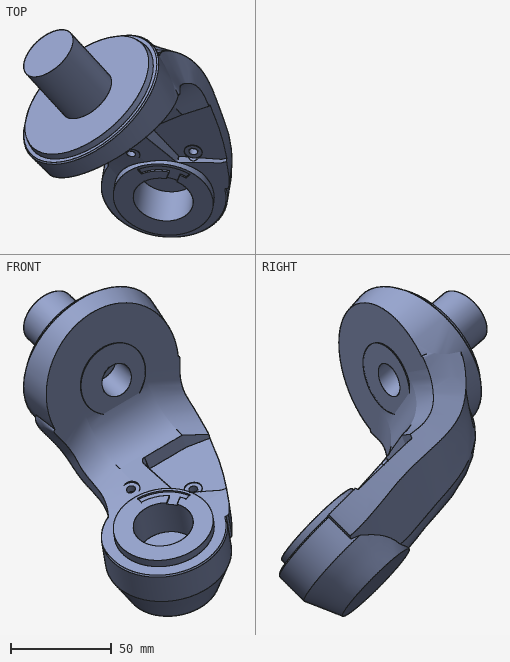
import cadquery as cq
import math

FLANGE_CENTRE = (-20.1, 18.7, 49.5)
PIN_AXIS = cq.Vector(-0.5728, 0.6223, 0.5335)
HUB_AXIS = cq.Vector(-0.1161, -0.7059, 0.6987)

PIN_RADIUS = 15.0
PIN_LENGTH = 33.4
FACE_RADIUS = 37.5
FACE_STEP = 3.0
FLANGE_RADIUS = 41.0
RIM_CHAMFER = 0.7

BARREL_LENGTH = 40.0
BARREL_END_RADIUS = 37.0
BARREL_END_X = -3.0
BACK_DEPTH = 25.3
BACK_TILT = 15.5
PAD_RADIUS = 18.8
PAD_X = -1.5
PAD_Z = 1.5
PAD_HEIGHT = 0.6

BACK_HOLE_RADIUS = 8.5
BACK_HOLE_FLOOR = 13.0
BACK_HOLE_TIP_RADIUS = 5.0
BACK_HOLE_TIP_DEPTH = 8.0

HUB_X = -27.5
HUB_Y = -99.6
HUB_RADIUS = 31.6
HUB_END_RADIUS = 23.5
PLATE_Z = -32.0
HUB_SHOULDER_Z = -50.0
HUB_END_Z = -68.85
BOSS_RADIUS = 25.0
BOSS_HEIGHT = 4.5
BOSS_TOP_Z = PLATE_Z + BOSS_HEIGHT
BORE_RADIUS = 15.0
BORE_DEPTH = 20.5

RECESS_DEPTH = 1.0
RECESS_INNER_RADIUS = 20.0
RECESS_OUTER_RADIUS = 23.5
RECESS_START_ANGLE = 20.0
RECESS_END_ANGLE = 88.0
STEM_ANGLE = 38.0
STEM_WIDTH = 5.5

PIVOT_Y = -50.0
PIVOT_Z = -5.0
QUARTER_TURN = 90.0
ARM_INNER = 12.0
RIDGE_WIDTH = 26.0
RIDGE_RISE = 3.0

HOLLOW_HALF_WIDTH = 70.0
HOLLOW_TOP_Z = 60.0
HOLLOW_END_Y = -180.0
STRIP_LEFT_X = -21.5
STRIP_RIGHT_X = 15.5
EDGE_LEFT_X = -42.0
EDGE_RIGHT_X = 36.0
EDGE_BEND = (-14.0, (-28.8, -39.5), (-34.3, -55.5))
STRIP_BEND = (-5.0, (-22.2, -37.7), (-27.2, -53.5))
BEND_END_Y = -97.0

POCKET_FLOOR_Z = -33.5
POCKET_OUTLINE = [
    (-7.5, -58.0),
    (15.0, -58.0),
    (40.0, -63.5),
    (40.0, -101.0),
    (10.5, -95.0),
    (-7.0, -83.0),
]
POCKET_DRAFT = 25.0
POCKET_TOP_Z = -20.0

SCREW_HOLES = [(-24.5, -67.0, -29.3), (1.0, -84.0, POCKET_FLOOR_Z - 0.4)]
SCREW_RADIUS = 2.2
SCREW_DEPTH = 4.0
SPOT_RADIUS = 4.5
SPOT_HEIGHT = 6.0


def turned_about_y(profile):
    """Solid turned about the y axis from (radius, y) points."""
    return cq.Workplane("XY").polyline(profile).close().revolve(360, (0, 0, 0), (0, 1, 0))


def disc(x, y, z, radius, height):
    """Upright cylinder standing on z."""
    return cq.Workplane("XY", origin=(x, y, z)).circle(radius).extrude(height)


def back_y(z):
    """Place of the tilted back of the flange at height z."""
    return -BACK_DEPTH + z * math.tan(math.radians(BACK_TILT))


def flange_and_pin():
    barrel_start = -FACE_STEP - RIM_CHAMFER
    front = turned_about_y(
        [
            (0, PIN_LENGTH),
            (PIN_RADIUS, PIN_LENGTH),
            (PIN_RADIUS, 0),
            (FACE_RADIUS, 0),
            (FACE_RADIUS + RIM_CHAMFER, -FACE_STEP),
            (FLANGE_RADIUS - RIM_CHAMFER, -FACE_STEP),
            (FLANGE_RADIUS, barrel_start),
            (0, barrel_start),
        ]
    )
    away = cq.Vector(0, -1, 0)
    start = cq.Wire.makeCircle(FLANGE_RADIUS, cq.Vector(0, barrel_start, 0), away)
    end = cq.Wire.makeCircle(BARREL_END_RADIUS, cq.Vector(BARREL_END_X, -BARREL_LENGTH, 0), away)
    return front.union(cq.Workplane(cq.Solid.makeLoft([start, end], True)))


def arm_section(turn, y, left, right, left_side, right_side, back):
    """Closed wire across the arm; the sides and the back are distances from the pivot line."""
    angle = math.radians(turn)
    plane = cq.Plane(
        origin=(0, y, PIVOT_Z), xDir=(1, 0, 0), normal=(0, math.sin(angle), math.cos(angle))
    )
    middle = (left + right) / 2
    ridge_left = middle - RIDGE_WIDTH / 2
    ridge_right = middle + RIDGE_WIDTH / 2
    wire = (
        cq.Workplane(plane)
        .moveTo(left, left_side)
        .lineTo(left, ARM_INNER)
        .lineTo(right, ARM_INNER)
        .lineTo(right, right_side)
        .lineTo(ridge_right, back - RIDGE_RISE)
        .threePointArc((middle, back), (ridge_left, back - RIDGE_RISE))
        .close()
    )
    return wire.val()


def arm():
    sections = [
        arm_section(0, PIVOT_Y, -37, 34.5, 38, 42, 44),
        arm_section(35, PIVOT_Y, -36.5, 33.0, 36, 42, 50),
        arm_section(60, PIVOT_Y, -35.5, 31.8, 34, 40, 57.5),
        arm_section(QUARTER_TURN, PIVOT_Y, -35.5, 30.5, 34, 39, 60),
        arm_section(QUARTER_TURN, -68, -40, 25.3, 37, 39, 62),
        arm_section(QUARTER_TURN, -84, -52, 19, 43, 40, 63.5),
        arm_section(QUARTER_TURN, -100, -52, 11, 45, 42, 61),
        arm_section(QUARTER_TURN, -112, -48, 3, 45, 42, 56),
    ]
    ahead = cq.Workplane("XZ", origin=(0, -FACE_STEP - RIM_CHAMFER, 0))
    return cq.Workplane(cq.Solid.makeLoft(sections, False)).cut(
        ahead.circle(2 * FLANGE_RADIUS).extrude(-BARREL_LENGTH)
    )


def back_pad():
    """Low round pad on the tilted back of the flange."""
    tilt = math.radians(BACK_TILT)
    back = cq.Plane(
        origin=(PAD_X, back_y(PAD_Z), PAD_Z), xDir=(1, 0, 0), normal=(0, -math.cos(tilt), math.sin(tilt))
    )
    return cq.Workplane(back).workplane(offset=-PAD_HEIGHT).circle(PAD_RADIUS).extrude(2 * PAD_HEIGHT)


def hollow_section(x, bend):
    """Closed wire at one x: tilted back, bend, plate, and outer limits."""
    start_z, (middle_z, middle_y), (end_z, end_y) = bend
    wire = (
        cq.Workplane("YZ", origin=(x, 0, 0))
        .moveTo(back_y(HOLLOW_TOP_Z), HOLLOW_TOP_Z)
        .lineTo(back_y(start_z), start_z)
        .threePointArc((middle_y, middle_z), (end_y, end_z))
        .lineTo(BEND_END_Y, PLATE_Z)
        .lineTo(HOLLOW_END_Y, PLATE_Z)
        .lineTo(HOLLOW_END_Y, HOLLOW_TOP_Z)
        .close()
    )
    return wire.val()


def hollow():
    steps = [
        (-HOLLOW_HALF_WIDTH, EDGE_BEND),
        (EDGE_LEFT_X, EDGE_BEND),
        (STRIP_LEFT_X, STRIP_BEND),
        (STRIP_RIGHT_X, STRIP_BEND),
        (EDGE_RIGHT_X, EDGE_BEND),
        (HOLLOW_HALF_WIDTH, EDGE_BEND),
    ]
    wires = [hollow_section(x, bend) for x, bend in steps]
    return cq.Workplane(cq.Solid.makeLoft(wires, True))


def hub():
    """Hub body; the part standing above the plate is removed with the hollow."""
    profile = [
        (0, PLATE_Z + BOSS_HEIGHT),
        (HUB_RADIUS - RIM_CHAMFER, PLATE_Z + BOSS_HEIGHT),
        (HUB_RADIUS - RIM_CHAMFER, PLATE_Z),
        (HUB_RADIUS, PLATE_Z - RIM_CHAMFER),
        (HUB_RADIUS, HUB_SHOULDER_Z),
        (HUB_END_RADIUS, HUB_END_Z),
        (0, HUB_END_Z),
    ]
    body = cq.Workplane("XZ").polyline(profile).close().revolve(360, (0, 0, 0), (0, 1, 0))
    return body.translate((HUB_X, HUB_Y, 0))


def boss_recess():
    def rim(radius, angle):
        return (radius * math.cos(math.radians(angle)), radius * math.sin(math.radians(angle)))

    middle = (RECESS_START_ANGLE + RECESS_END_ANGLE) / 2
    floor = cq.Workplane("XY", origin=(HUB_X, HUB_Y, BOSS_TOP_Z - RECESS_DEPTH))
    bar = (
        floor.moveTo(*rim(RECESS_INNER_RADIUS, RECESS_START_ANGLE))
        .lineTo(*rim(RECESS_OUTER_RADIUS, RECESS_START_ANGLE))
        .threePointArc(rim(RECESS_OUTER_RADIUS, middle), rim(RECESS_OUTER_RADIUS, RECESS_END_ANGLE))
        .lineTo(*rim(RECESS_INNER_RADIUS, RECESS_END_ANGLE))
        .threePointArc(rim(RECESS_INNER_RADIUS, middle), rim(RECESS_INNER_RADIUS, RECESS_START_ANGLE))
        .close()
        .extrude(RECESS_DEPTH)
    )
    stem_length = (RECESS_INNER_RADIUS + RECESS_OUTER_RADIUS) / 2
    stem = (
        floor.transformed(rotate=(0, 0, STEM_ANGLE))
        .rect(stem_length, STEM_WIDTH, centered=(False, True))
        .extrude(RECESS_DEPTH)
    )
    return bar.union(stem)


def boss():
    sunk = RECESS_DEPTH
    ring = disc(HUB_X, HUB_Y, PLATE_Z - sunk, BOSS_RADIUS, BOSS_HEIGHT + sunk)
    return ring.cut(boss_recess())


def pocket():
    return (
        cq.Workplane("XY", origin=(0, 0, POCKET_FLOOR_Z))
        .polyline(POCKET_OUTLINE)
        .close()
        .extrude(POCKET_TOP_Z - POCKET_FLOOR_Z, taper=-POCKET_DRAFT)
    )


def back_hole():
    tip = -BACK_HOLE_FLOOR + BACK_HOLE_TIP_DEPTH
    mouth = PIVOT_Y
    return turned_about_y(
        [
            (0, mouth),
            (BACK_HOLE_RADIUS, mouth),
            (BACK_HOLE_RADIUS, -BACK_HOLE_FLOOR),
            (BACK_HOLE_TIP_RADIUS, -BACK_HOLE_FLOOR),
            (BACK_HOLE_TIP_RADIUS, tip),
            (0, tip),
        ]
    )


body = flange_and_pin().union(arm()).union(hub()).cut(hollow()).cut(pocket())
for x, y, z in SCREW_HOLES:
    body = body.cut(disc(x, y, z, SPOT_RADIUS, SPOT_HEIGHT))
    body = body.cut(disc(x, y, z - SCREW_DEPTH, SCREW_RADIUS, SCREW_DEPTH))
body = body.union(boss()).union(back_pad()).cut(back_hole())
body = body.cut(disc(HUB_X, HUB_Y, BOSS_TOP_Z - BORE_DEPTH, BORE_RADIUS, BORE_DEPTH))

placement = cq.Plane(origin=FLANGE_CENTRE, xDir=PIN_AXIS.cross(HUB_AXIS), normal=HUB_AXIS)
result = cq.Workplane(body.val().moved(cq.Location(placement)))